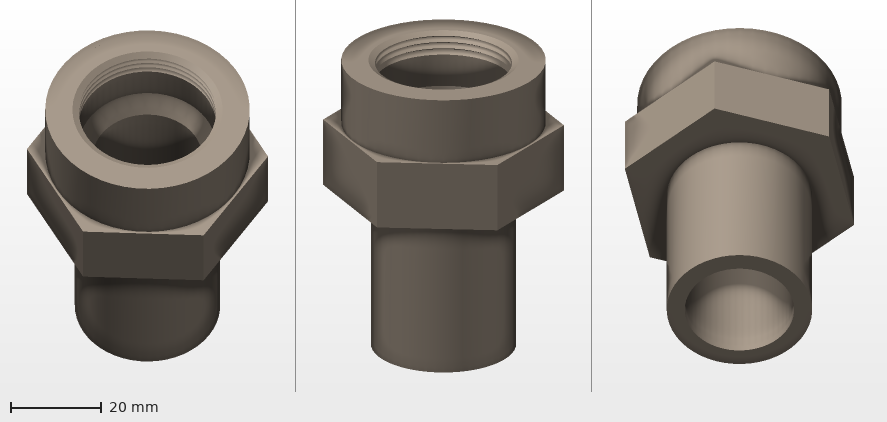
import cadquery as cq
import math

total_height = 68.0
collar_height = 14.95
hex_height = 15.65
spigot_height = total_height - collar_height - hex_height
collar_base = total_height - collar_height

hex_across_flats = 46.0
spigot_diameter = 32.0
ring_outer_diameter = 45.0
ring_inner_diameter = 42.0

groove_radius = 16.5
socket_radius = 15.1
passage_radius = 12.05
groove_count = 4
groove_pitch = 1.5
socket_depth = 12.7
cone_height = 3.75


def make_bore():
    """Revolved bore with sharp V-shaped grooves below the mouth."""
    profile = [(0, total_height)]
    for index in range(groove_count):
        root_z = total_height - index * groove_pitch
        profile.append((groove_radius, root_z))
        profile.append((socket_radius, root_z - groove_pitch / 2))
    socket_floor = total_height - socket_depth
    profile += [
        (socket_radius, socket_floor),
        (passage_radius, socket_floor - cone_height),
        (passage_radius, 0),
        (0, 0),
    ]
    return cq.Workplane("XZ").polyline(profile).close().revolve(360, (0, 0), (0, 1))


def make_fitting():
    """Spigot, hexagon and inner collar in one piece, with the bore removed."""
    hex_across_corners = hex_across_flats / math.cos(math.radians(30))
    spigot = cq.Workplane("XY").circle(spigot_diameter / 2).extrude(spigot_height)
    hexagon = (
        cq.Workplane("XY")
        .workplane(offset=spigot_height)
        .transformed(rotate=(0, 0, 30))
        .polygon(6, hex_across_corners)
        .extrude(hex_height)
    )
    collar = (
        cq.Workplane("XY")
        .workplane(offset=collar_base)
        .circle(ring_inner_diameter / 2)
        .extrude(collar_height)
    )
    return spigot.union(hexagon).union(collar).cut(make_bore())


def make_reinforcing_ring():
    """Thin sleeve around the collar, resting on the hexagon."""
    return (
        cq.Workplane("XY")
        .workplane(offset=collar_base)
        .circle(ring_outer_diameter / 2)
        .circle(ring_inner_diameter / 2)
        .extrude(collar_height)
    )


fitting = make_fitting()
reinforcing_ring = make_reinforcing_ring()
result = cq.Compound.makeCompound([fitting.val(), reinforcing_ring.val()])